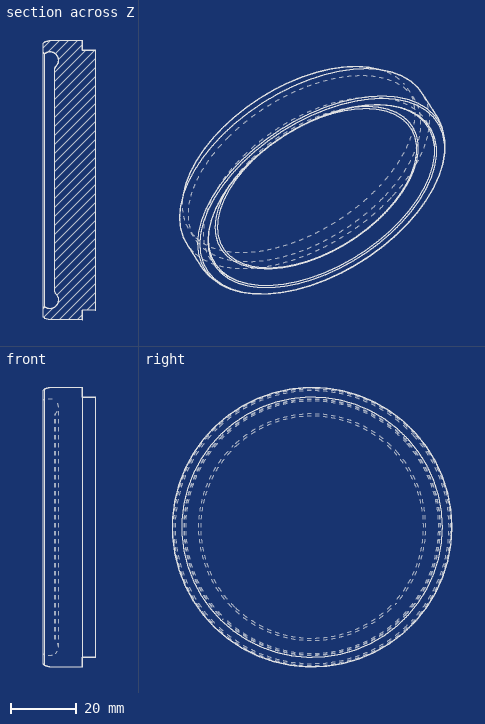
import cadquery as cq

outer_radius = 42.45
total_thickness = 16.0
spigot_radius = 79.0 / 2
spigot_length = 4.0
shoulder_x = total_thickness - spigot_length

front_face_radius = 41.5
bevel_radius = 42.0
bevel_depth = 0.5
taper_depth = 2.0

groove_mouth_radius = 38.8
groove_outer_radius = 38.4
groove_inner_radius = 34.5
panel_radius = 33.8
lip_depth = 0.5
panel_depth = 3.5
panel_bevel_depth = 0.25
groove_inner_depth = panel_depth + panel_bevel_depth
groove_bottom_depth = 4.7
groove_bottom_radius = (groove_outer_radius + groove_inner_radius) / 2

half_section = (
    cq.Workplane("XY")
    .moveTo(panel_depth, 0)
    .lineTo(panel_depth, panel_radius)
    .lineTo(groove_inner_depth, groove_inner_radius)
    .threePointArc(
        (groove_bottom_depth, groove_bottom_radius),
        (lip_depth, groove_outer_radius),
    )
    .lineTo(0, groove_mouth_radius)
    .lineTo(0, front_face_radius)
    .lineTo(bevel_depth, bevel_radius)
    .lineTo(taper_depth, outer_radius)
    .lineTo(shoulder_x, outer_radius)
    .lineTo(shoulder_x, spigot_radius)
    .lineTo(total_thickness, spigot_radius)
    .lineTo(total_thickness, 0)
    .close()
)

result = half_section.revolve(360, (0, 0, 0), (1, 0, 0))